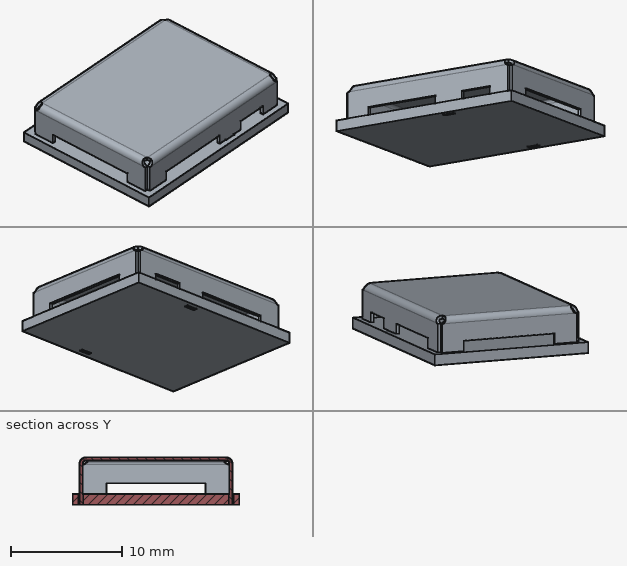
import cadquery as cq
import math

plate_x = 15.0
plate_y = 19.0
plate_thickness = 1.0
total_height = 4.3

cover_x = 13.8
cover_y = 18.0
sheet = 0.3
bend_radius = 0.6
inner_bend_radius = bend_radius - sheet
neutral_radius = (bend_radius + inner_bend_radius) / 2
bend_length = neutral_radius * math.pi / 2

relief_radius = 0.45
relief_offset = sheet
relief_points = 16
relief_clearance = 0.19

opening_height = 0.93
end_opening = (-4.45, 4.45)
short_opening = (3.72, 6.75)
long_opening = (-6.46, 0.84)

tab_range = (1.7, 2.81)
slot_clearance = 0.05


def box_between(x_range, y_range, z_range):
    """Axis-aligned box given by its limits."""
    size = [limits[1] - limits[0] for limits in (x_range, y_range, z_range)]
    corner = (x_range[0], y_range[0], z_range[0])
    return cq.Workplane("XY").box(*size, centered=False).translate(corner)


def make_plate():
    plate = cq.Workplane("XY").box(plate_x, plate_y, plate_thickness, centered=(True, True, False))
    slot = box_between(
        (-cover_x / 2 - slot_clearance, -cover_x / 2 + sheet), tab_range, (0, plate_thickness)
    )
    return plate.cut(slot).cut(slot.mirror("YZ"))


def folded_point(along, distance, height, fold_y):
    """Place a point of the flat sheet on the folded wall at -Y.

    distance runs across the fold from its start line; height is measured
    from the inner face of the sheet.
    """
    fold_z = total_height - bend_radius
    radius = inner_bend_radius + height
    if distance < 0:
        return cq.Vector(along, fold_y - distance, fold_z + radius)
    if distance > bend_length:
        return cq.Vector(along, fold_y - radius, fold_z - (distance - bend_length))
    angle = distance / neutral_radius
    return cq.Vector(along, fold_y - radius * math.sin(angle), fold_z + radius * math.cos(angle))


def relief_cutter(center_x, fold_y):
    """Round punch that follows the fold, square to the sheet everywhere."""
    rims = []
    for height in (-relief_clearance, sheet + relief_clearance):
        points = []
        for i in range(relief_points):
            turn = 2 * math.pi * i / relief_points
            along = center_x + relief_radius * math.cos(turn)
            distance = relief_offset + relief_radius * math.sin(turn)
            points.append(folded_point(along, distance, height, fold_y))
        rims.append(cq.Edge.makeSpline(points, periodic=True))
    side = cq.Face.makeRuledSurface(*rims)
    caps = [cq.Face.makeNSidedSurface([rim], []) for rim in rims]
    return cq.Workplane(obj=cq.Solid.makeSolid(cq.Shell.makeShell([side, *caps])))


def make_wall(length, span, openings):
    """Fold and wall at -Y of a cover that is `span` deep, with corner reliefs."""
    outer_y = -span / 2
    fold_y = outer_y + bend_radius
    fold_z = total_height - bend_radius
    half_wall = length / 2 - sheet
    diagonal = math.sqrt(0.5)
    wall = (
        cq.Workplane("YZ", origin=(-half_wall, 0, 0))
        .moveTo(fold_y, total_height)
        .threePointArc(
            (fold_y - bend_radius * diagonal, fold_z + bend_radius * diagonal), (outer_y, fold_z)
        )
        .lineTo(outer_y, plate_thickness)
        .lineTo(outer_y + sheet, plate_thickness)
        .lineTo(outer_y + sheet, fold_z)
        .threePointArc(
            (fold_y - inner_bend_radius * diagonal, fold_z + inner_bend_radius * diagonal),
            (fold_y, total_height - sheet),
        )
        .close()
        .extrude(2 * half_wall)
    )
    for opening in openings:
        wall = wall.cut(
            box_between(
                opening,
                (outer_y, outer_y + sheet),
                (plate_thickness, plate_thickness + opening_height),
            )
        )
    relief_x = length / 2 - bend_radius + relief_offset
    for center_x in (-relief_x, relief_x):
        wall = wall.cut(relief_cutter(center_x, fold_y))
    return wall


def make_top():
    """Flat top of the cover, bounded by the four fold start lines."""
    flat_x = cover_x - 2 * bend_radius
    flat_y = cover_y - 2 * bend_radius
    top = cq.Workplane("XY", origin=(0, 0, total_height - sheet))
    reliefs = (
        top.rect(flat_x + 2 * relief_offset, flat_y + 2 * relief_offset, forConstruction=True)
        .vertices()
        .circle(relief_radius)
        .extrude(sheet)
    )
    return top.rect(flat_x, flat_y).extrude(sheet).cut(reliefs)


def make_cover():
    end_wall = make_wall(cover_x, cover_y, [end_opening])
    side_openings = [(-high, -low) for low, high in (short_opening, long_opening)]
    side_wall = make_wall(cover_y, cover_x, side_openings).rotate((0, 0, 0), (0, 0, 1), -90)
    tab = box_between((-cover_x / 2, -cover_x / 2 + sheet), tab_range, (0, plate_thickness))
    side_wall = side_wall.union(tab)
    cover = make_top()
    for wall, mirror_plane in ((end_wall, "XZ"), (side_wall, "YZ")):
        cover = cover.union(wall).union(wall.mirror(mirror_plane))
    return cover


plate = make_plate()
cover = make_cover()
result = cq.Compound.makeCompound([plate.solids().val(), cover.solids().val()])